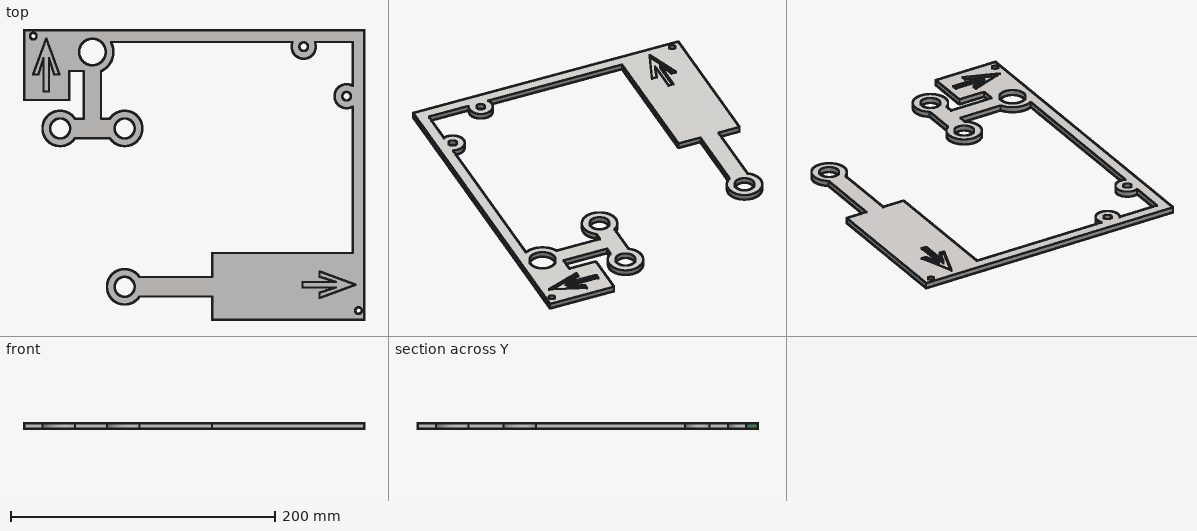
import cadquery as cq

length = 257.74
width = 219.32
thickness = 4.5

top_strip_width = 9.0
right_strip_width = 9.0
left_plate_length = 34.25
left_plate_width = 53.0
lower_plate_length = 115.4
lower_plate_width = 50.6

guide_hole_diameter = 20.0
guide_boss_radius = 16.0
guide_x = 51.75
guide_y = width - 16.5
web_bottom_y = width - 31.0

ring_hole_diameter = 15.0
ring_radius = 13.5
ring_spacing = 48.85
ring_pair_y = width - 74.4
lower_ring_x = guide_x + ring_spacing / 2
lower_ring_y = 25.0
stem_width = 13.25
crossbar_width = 15.0
lower_arm_width = 15.0

lug_hole_diameter = 6.4
lug_radius = 9.2
top_lug_center = (length - 46.0, width - 12.5)
right_lug_center = (length - 13.5, width - 50.0)

corner_hole_diameter = 4.8
corner_hole_end_offset = 7.0
corner_hole_edge_offset = 4.5

arrow_depth = 2.0
arrow_length = 40.2
arrow_head_length = 27.25
arrow_head_half_width = 10.0
arrow_barb_width = 4.0
arrow_shaft_width = 4.0
arrow_shaft_joint = 14.75
left_arrow_tip = (16.8, width - 6.3)
lower_arrow_tip = (length - 6.6, 26.6)


def block(x_min, y_min, x_max, y_max):
    """Full-thickness rectangle between two opposite corners."""
    size_x = x_max - x_min
    size_y = y_max - y_min
    return (
        cq.Workplane("XY")
        .box(size_x, size_y, thickness, centered=False)
        .translate((x_min, y_min, 0))
    )


def disc(center, radius):
    """Full-thickness round at the given centre."""
    return cq.Workplane("XY").center(*center).circle(radius).extrude(thickness)


def arrow(tip, direction_angle):
    """Arrow-shaped cutter below the top face; the angle is measured from +X."""
    half_shaft = arrow_shaft_width / 2
    inner_barb = arrow_head_half_width - arrow_barb_width
    upper_side = [
        (-arrow_head_length, arrow_head_half_width),
        (-arrow_head_length, inner_barb),
        (-arrow_shaft_joint, half_shaft),
        (-arrow_length, half_shaft),
    ]
    lower_side = [(x, -y) for x, y in reversed(upper_side)]
    return (
        cq.Workplane("XY")
        .polyline([(0, 0)] + upper_side + lower_side)
        .close()
        .extrude(arrow_depth)
        .rotate((0, 0, 0), (0, 0, 1), direction_angle)
        .translate((tip[0], tip[1], thickness - arrow_depth))
    )


ring_centers = [
    (guide_x - ring_spacing / 2, ring_pair_y),
    (guide_x + ring_spacing / 2, ring_pair_y),
    (lower_ring_x, lower_ring_y),
]
lug_centers = [top_lug_center, right_lug_center]
corner_hole_centers = [
    (corner_hole_end_offset, width - corner_hole_edge_offset),
    (length - corner_hole_edge_offset, corner_hole_end_offset),
]


def frame():
    """Two strips meeting at the top right corner, with a plate at each free end."""
    top_strip = block(0, width - top_strip_width, length, width)
    right_strip = block(length - right_strip_width, 0, length, width)
    left_plate = block(0, width - left_plate_width, left_plate_length, width)
    lower_plate = block(length - lower_plate_length, 0, length, lower_plate_width)
    return top_strip.union(right_strip).union(left_plate).union(lower_plate)


def guide_boss():
    """Round boss joined to the left plate by a web."""
    web = block(0, web_bottom_y, guide_x, width)
    return disc((guide_x, guide_y), guide_boss_radius).union(web)


def ring_arms():
    """Stem and crossbar for the ring pair, and the lower arm for the single ring."""
    half_stem = stem_width / 2
    half_crossbar = crossbar_width / 2
    half_arm = lower_arm_width / 2
    pair_left_x = guide_x - ring_spacing / 2
    pair_right_x = guide_x + ring_spacing / 2
    stem = block(guide_x - half_stem, ring_pair_y, guide_x + half_stem, guide_y)
    crossbar = block(pair_left_x, ring_pair_y - half_crossbar, pair_right_x, ring_pair_y + half_crossbar)
    lower_arm = block(
        lower_ring_x,
        lower_ring_y - half_arm,
        length - lower_plate_length,
        lower_ring_y + half_arm,
    )
    return stem.union(crossbar).union(lower_arm)


result = frame().union(guide_boss()).union(ring_arms())

for center in ring_centers:
    result = result.union(disc(center, ring_radius))
for center in lug_centers:
    result = result.union(disc(center, lug_radius))

result = result.cut(disc((guide_x, guide_y), guide_hole_diameter / 2))
for center in ring_centers:
    result = result.cut(disc(center, ring_hole_diameter / 2))
for center in lug_centers:
    result = result.cut(disc(center, lug_hole_diameter / 2))
for center in corner_hole_centers:
    result = result.cut(disc(center, corner_hole_diameter / 2))

result = result.cut(arrow(left_arrow_tip, 90))
result = result.cut(arrow(lower_arrow_tip, 0))